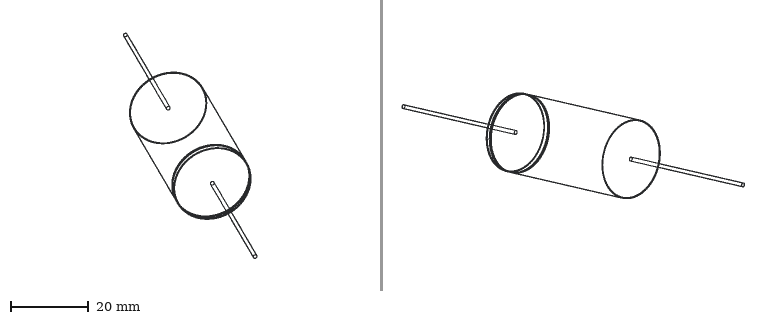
import cadquery as cq

overall_length = 127.7
body_diameter = 20.7
body_radius = body_diameter / 2
body_length = 43.5
lead_diameter = 1.0

groove_width = 0.8
groove_floor_width = 0.3
groove_depth = 0.1
end_rim_width = 1.1

sleeve_thickness = 0.3
recess_depth = 0.1


def cylinder_along_x(start_x, length, diameter):
    """Solid cylinder on the X axis, starting at start_x."""
    return cq.Workplane("YZ", origin=(start_x, 0, 0)).circle(diameter / 2).extrude(length)


def groove_cutter():
    """Ring with a trapezoid section: sloped flanks and a narrow flat floor."""
    groove_middle = body_length / 2 - end_rim_width - groove_width / 2
    floor_radius = body_radius - groove_depth
    section = [
        (groove_middle - groove_width / 2, body_radius),
        (groove_middle - groove_floor_width / 2, floor_radius),
        (groove_middle + groove_floor_width / 2, floor_radius),
        (groove_middle + groove_width / 2, body_radius),
    ]
    return cq.Workplane("XY").polyline(section).close().revolve(360, (0, 0, 0), (1, 0, 0))


can = cylinder_along_x(-body_length / 2, body_length, body_diameter).cut(groove_cutter())

recess_diameter = body_diameter - 2 * sleeve_thickness
for recess_start in (-body_length / 2, body_length / 2 - recess_depth):
    can = can.cut(cylinder_along_x(recess_start, recess_depth, recess_diameter))

leads = cylinder_along_x(-overall_length / 2, overall_length, lead_diameter)

result = can.union(leads)